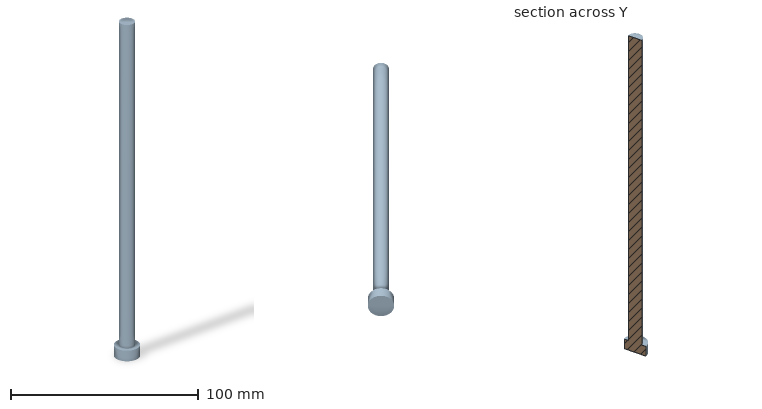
import cadquery as cq

overall_length = 200.0
head_diameter = 14.0
head_height = 6.5
shank_diameter = 8.5

head = cq.Workplane("XY").circle(head_diameter / 2).extrude(head_height)
shank = cq.Workplane("XY").circle(shank_diameter / 2).extrude(overall_length)

result = head.union(shank)